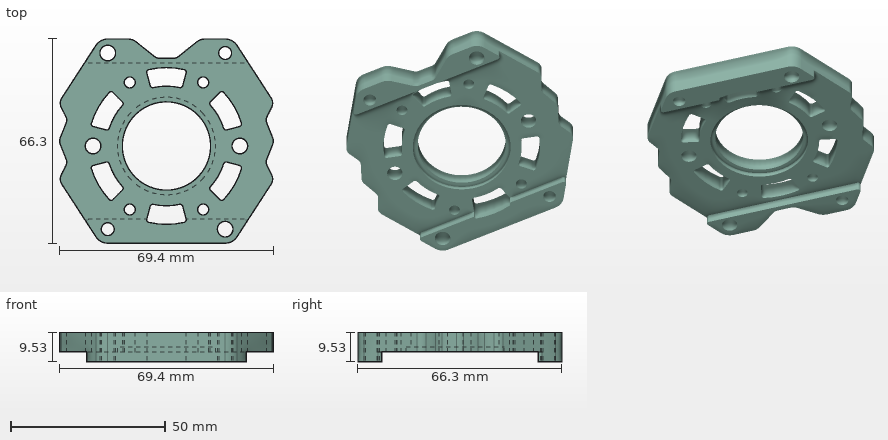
import cadquery as cq
import math


total_width = 69.39
total_length = 66.32
total_height = 9.525
plate_thickness = 6.35
foot_height = total_height - plate_thickness

outline_center_y = 1.5875
half_width = total_width / 2
half_length = total_length / 2

corner_hole_x = 19.05
corner_hole_y = 28.575
corner_radius = half_length - corner_hole_y
slant_angle = math.radians(57)

nose_radius = 3.0
dip_radius = 2.5
lobe_radius = 3.0
dip_y = 6.92
nose_flank_angle = math.radians(21.8)
lobe_flank_angle = math.radians(26.5)

notch_depth = 6.25
notch_floor_half_width = 3.2
notch_top_half_width = 11.0
notch_floor_radius = 2.5

foot_inner_y = 25.35
foot_end_radius = 0.8

bore_diameter = 28.575
counterbore_diameter = 31.75
counterbore_depth = 1.5875

large_hole_diameter = 5.0
corner_small_diameter = 4.1
bolt_hole_diameter = 3.5
bolt_circle_radius = 23.8125
large_hole_angles = (0, 180)
bolt_hole_angles = (60, 120, 240, 300)

slot_inner_radius = 19.45
slot_outer_radius = 25.4
slot_span = 30
slot_corner_radius = 0.8
slot_angles = range(30, 360, 60)


def side_points():
    """Sharp corners (x, y, rounding radius) of the right edge's back half, from nose to corner."""
    nose_x = half_width - nose_radius + nose_radius / math.cos(nose_flank_angle)
    dip_x = nose_x - dip_y * math.tan(nose_flank_angle)
    corner_x = corner_hole_x + corner_radius * math.tan(slant_angle / 2)
    slant_run = 1 / math.tan(slant_angle)
    lobe_run = math.tan(lobe_flank_angle)
    lobe_y = (corner_x + half_length * slant_run - dip_x + dip_y * lobe_run) / (slant_run + lobe_run)
    lobe_x = dip_x + (lobe_y - dip_y) * lobe_run
    return [
        (nose_x, 0, nose_radius),
        (dip_x, dip_y, dip_radius),
        (lobe_x, lobe_y, lobe_radius),
        (corner_x, half_length, corner_radius),
    ]


def outline_points():
    """Sharp corners of the whole outline, counterclockwise from the right nose."""
    back_right = side_points()
    notch_right = [
        (notch_top_half_width, half_length, corner_radius),
        (notch_floor_half_width, half_length - notch_depth, notch_floor_radius),
    ]
    right = back_right + notch_right
    left = [(-x, y, r) for x, y, r in reversed(right)]
    front_left = [(-x, -y, r) for x, y, r in back_right[1:]]
    front_right = [(x, -y, r) for x, y, r in reversed(back_right[1:])]
    return right + left + front_left + front_right


def round_upright_edge(body, x, y, radius):
    """Round the vertical edge of the body that stands at (x, y)."""
    return body.edges(cq.selectors.NearestToPointSelector((x, y, total_height / 2))).fillet(radius)


def make_block():
    points = outline_points()
    block = cq.Workplane("XY").polyline([(x, y) for x, y, _ in points]).close().extrude(total_height)
    for x, y, radius in points:
        block = round_upright_edge(block, x, y, radius)
    return block


def cut_between_feet(body):
    """Clear the underside between the feet and round the ends of the feet."""
    channel = cq.Workplane("XY").rect(2 * total_width, 2 * foot_inner_y).extrude(foot_height)
    corner_x = side_points()[-1][0]
    end_x = corner_x + (half_length - foot_inner_y) / math.tan(slant_angle)
    body = body.cut(channel)
    for x in (-end_x, end_x):
        for y in (-foot_inner_y, foot_inner_y):
            foot_end = cq.selectors.NearestToPointSelector((x, y, foot_height / 2))
            body = body.edges(foot_end).fillet(foot_end_radius)
    return body


def cut_cylinder(body, x, y, diameter, depth=total_height):
    """Cut a round hole upward from the underside of the feet."""
    return body.cut(cq.Workplane("XY").center(x, y).circle(diameter / 2).extrude(depth))


def cut_corner_holes(body):
    for side_x in (-1, 1):
        for side_y in (-1, 1):
            diameter = large_hole_diameter if side_x != side_y else corner_small_diameter
            body = cut_cylinder(body, side_x * corner_hole_x, side_y * corner_hole_y, diameter)
    return body


def cut_bore(body):
    body = cut_cylinder(body, 0, 0, bore_diameter)
    return cut_cylinder(body, 0, 0, counterbore_diameter, foot_height + counterbore_depth)


def cut_hole_circle(body, angles, diameter):
    for angle in angles:
        turn = math.radians(angle)
        x = bolt_circle_radius * math.cos(turn)
        y = bolt_circle_radius * math.sin(turn)
        body = cut_cylinder(body, x, y, diameter)
    return body


def polar(radius, angle):
    turn = math.radians(angle)
    return (radius * math.cos(turn), radius * math.sin(turn))


def make_slot(angle):
    start = angle - slot_span / 2
    end = angle + slot_span / 2
    return (
        cq.Workplane("XY")
        .moveTo(*polar(slot_inner_radius, start))
        .lineTo(*polar(slot_outer_radius, start))
        .threePointArc(polar(slot_outer_radius, angle), polar(slot_outer_radius, end))
        .lineTo(*polar(slot_inner_radius, end))
        .threePointArc(polar(slot_inner_radius, angle), polar(slot_inner_radius, start))
        .close()
        .extrude(total_height)
        .edges("|Z")
        .fillet(slot_corner_radius)
    )


def cut_slots(body):
    for angle in slot_angles:
        body = body.cut(make_slot(angle))
    return body


plate = make_block()
plate = cut_between_feet(plate)
plate = cut_corner_holes(plate)
plate = plate.translate((0, outline_center_y, 0))
plate = cut_bore(plate)
plate = cut_hole_circle(plate, large_hole_angles, large_hole_diameter)
plate = cut_hole_circle(plate, bolt_hole_angles, bolt_hole_diameter)
result = cut_slots(plate)